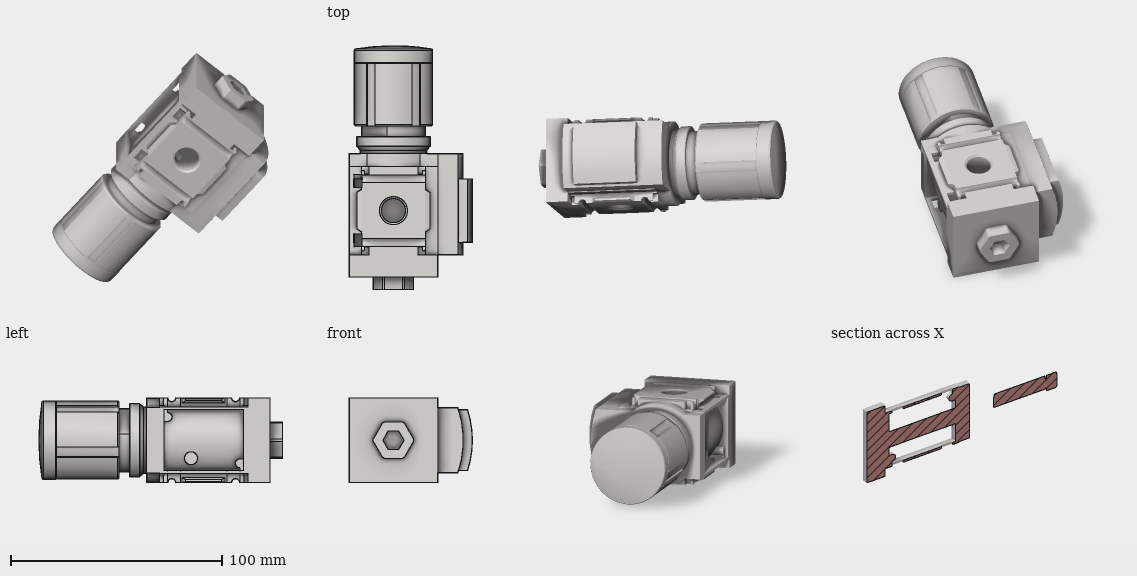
import cadquery as cq
import math


HALF_WIDTH = 21.0
HALF_HEIGHT = 20.1
BACK_Y = 27.0
FRONT_Y = -31.5
PANEL_HALF_LENGTH = 20.9
FRAME_HALF_HEIGHT = 15.8
SHELF_HALF_HEIGHT = 15.5
SEAT_RADIUS = 20.0

PANEL_HALF_WIDTH = 15.1
PORT_DIAMETER = 11.4
PORT_MOUTH_DIAMETER = 13.3
PORT_CHAMFER = (PORT_MOUTH_DIAMETER - PORT_DIAMETER) / 2
PORT_DEPTH = 11.5
GROOVE_Y = 15.1
GROOVE_RADIUS = 1.8
NOTCH_INNER_X = 11.5
NOTCH_INNER_Y = 17.3
NOTCH_FLOOR = 16.5
POST_INNER_X = 13.7
POST_OUTER_Y = 19.0
POST_FILLET = 0.6
LEDGE_REACH = 17.3
LEDGE_ROOT_HALF_LENGTH = 10.2
LEDGE_TIP_HALF_LENGTH = 8.5
LEDGE_TIP_TOP = 19.5
LEDGE_TIP_BOTTOM = 18.7
LEDGE_ROOT_BOTTOM = 17.5
OVERLAP = 0.6

WINDOW_HALF_LENGTH = 18.8
WINDOW_HALF_HEIGHT = 14.4
BARREL_RADIUS = 18.6
SLOT_OUTER_X = -18.7
SLOT_INNER_X = -14.8
SLOT_NEAR_Y = 11.0
SLOT_FAR_Y = 17.1
PIN_DIAMETER = 6.1
PIN_FACE_X = -17.8
PIN_Y = 6.0
PIN_Z = -8.5
HOOK_FACE_X = -19.6
HOOK_RADIUS = 2.1
HOOK_Z = 11.0
HOOK_ROOT_X = -11.5

PLUG_LENGTH = 5.9
PLUG_FLATS = 17.1
PLUG_CORNER_DIAMETER = 19.2
SOCKET_FLATS = 8.7
SOCKET_DEPTH = 6.9

COLLAR_RADIUS = 15.8
COLLAR_END = 28.5
CONE_RADIUS = 17.1
CONE_END = 30.3
FLANGE_RADIUS = 35.0 / 2
FLANGE_END = 35.1
FLANGE_BEVEL = 0.2
NECK_RADIUS = 15.1
NECK_FLAT_DISTANCE = 12.6
KNOB_START = 40.1
KNOB_RADIUS = 37.2 / 2
KNOB_BEVEL_LENGTH = 0.7
KNOB_BEVEL_DEPTH = 0.6
CAP_START = 70.2
CAP_EDGE = 75.9
CAP_EDGE_LENGTH = 0.7
CAP_EDGE_DEPTH = 0.3
KNOB_END = 78.1
CAP_GAP = 0.5
CAP_GAP_DEPTH = 0.3
FLUTE_COUNT = 5
FLUTE_DEPTH = 0.8
FLUTE_ANGLE = 15.6

GAUGE_HALF_HEIGHT = 15.5
GAUGE_EDGE_X = 30.5
GAUGE_CREST_X = 33.0
LENS_HALF_HEIGHT = 14.4
LENS_HALF_LENGTH = 15
LENS_EDGE_X = 35.1
LENS_CREST_X = 37.4


def block(x_start, x_end, y_start, y_end, z_start, z_end):
    """Axis-aligned box between two opposite corners."""
    size = (x_end - x_start, y_end - y_start, z_end - z_start)
    return cq.Workplane("XY").box(*size, centered=False).translate((x_start, y_start, z_start))


def rod_y(radius, y_start, y_end):
    """Cylinder on the Y axis."""
    return cq.Workplane("XZ", origin=(0, y_end, 0)).circle(radius).extrude(y_end - y_start)


def both_sides(shape):
    """The shape together with its mirror image below the XY plane."""
    return shape.union(shape.mirror("XY"))


def make_frame():
    """Front end block, frame between the panels, and round bonnet seat with low corners."""
    end_block = block(-HALF_WIDTH, HALF_WIDTH, FRONT_Y, -PANEL_HALF_LENGTH, -HALF_HEIGHT, HALF_HEIGHT)
    frame = block(-HALF_WIDTH, HALF_WIDTH, -PANEL_HALF_LENGTH, PANEL_HALF_LENGTH,
                  -FRAME_HALF_HEIGHT, FRAME_HALF_HEIGHT)
    shelf = block(-HALF_WIDTH, HALF_WIDTH, PANEL_HALF_LENGTH, BACK_Y,
                  -SHELF_HALF_HEIGHT, SHELF_HALF_HEIGHT)
    seat = rod_y(SEAT_RADIUS, PANEL_HALF_LENGTH, BACK_Y)
    return end_block.union(frame).union(shelf).union(seat)


def make_ledge():
    """Tapered ledge on the -X edge of the upper panel."""
    root_x = -PANEL_HALF_WIDTH
    profile = (
        cq.Workplane("XZ", origin=(0, LEDGE_ROOT_HALF_LENGTH, 0))
        .polyline([
            (root_x + OVERLAP, HALF_HEIGHT), (root_x, HALF_HEIGHT),
            (-LEDGE_REACH, LEDGE_TIP_TOP), (-LEDGE_REACH, LEDGE_TIP_BOTTOM),
            (root_x, LEDGE_ROOT_BOTTOM), (root_x + OVERLAP, LEDGE_ROOT_BOTTOM),
        ])
        .close()
        .extrude(2 * LEDGE_ROOT_HALF_LENGTH)
    )
    plan = (
        cq.Workplane("XY")
        .polyline([
            (root_x + OVERLAP, LEDGE_ROOT_HALF_LENGTH), (root_x, LEDGE_ROOT_HALF_LENGTH),
            (-LEDGE_REACH, LEDGE_TIP_HALF_LENGTH), (-LEDGE_REACH, -LEDGE_TIP_HALF_LENGTH),
            (root_x, -LEDGE_ROOT_HALF_LENGTH), (root_x + OVERLAP, -LEDGE_ROOT_HALF_LENGTH),
        ])
        .close()
        .extrude(HALF_HEIGHT)
    )
    return profile.intersect(plan)


def make_corner_notch():
    """Corner notch at +X +Y of the upper panel, leaving a round-ended post at the panel edge."""
    notch = block(NOTCH_INNER_X, PANEL_HALF_WIDTH, NOTCH_INNER_Y, PANEL_HALF_LENGTH,
                  NOTCH_FLOOR, HALF_HEIGHT)
    post = block(POST_INNER_X, PANEL_HALF_WIDTH, NOTCH_INNER_Y, POST_OUTER_Y, NOTCH_FLOOR, HALF_HEIGHT)
    post = post.edges("|Z and >Y").fillet(POST_FILLET)
    return notch.cut(post)


def make_panel():
    """Raised upper panel with clamping grooves, corner notches and side ledges."""
    panel = block(-PANEL_HALF_WIDTH, PANEL_HALF_WIDTH, -PANEL_HALF_LENGTH, PANEL_HALF_LENGTH,
                  FRAME_HALF_HEIGHT, HALF_HEIGHT)
    groove = (
        cq.Workplane("YZ", origin=(-PANEL_HALF_WIDTH, 0, 0))
        .center(GROOVE_Y, HALF_HEIGHT)
        .circle(GROOVE_RADIUS)
        .extrude(2 * PANEL_HALF_WIDTH)
    )
    panel = panel.cut(groove).cut(groove.mirror("XZ"))
    notch = make_corner_notch()
    notch_pair = notch.union(notch.mirror("XZ"))
    panel = panel.cut(notch_pair).cut(notch_pair.mirror("YZ"))
    ledge = make_ledge()
    return panel.union(ledge).union(ledge.mirror("YZ"))


def make_port():
    """Cutter for the upper port with its chamfered mouth."""
    bore = cq.Workplane("XY", origin=(0, 0, HALF_HEIGHT)).circle(PORT_DIAMETER / 2).extrude(-PORT_DEPTH)
    mouth = (
        cq.Workplane("XY", origin=(0, 0, HALF_HEIGHT))
        .circle(PORT_MOUTH_DIAMETER / 2)
        .extrude(-PORT_CHAMFER, taper=45)
    )
    return bore.union(mouth)


def make_window():
    """Cutter for the side window around the barrel."""
    window_inner_x = -math.sqrt(BARREL_RADIUS**2 - WINDOW_HALF_HEIGHT**2)
    window = block(-HALF_WIDTH, window_inner_x, -WINDOW_HALF_LENGTH, WINDOW_HALF_LENGTH,
                   -WINDOW_HALF_HEIGHT, WINDOW_HALF_HEIGHT)
    return window.cut(rod_y(BARREL_RADIUS, -WINDOW_HALF_LENGTH, WINDOW_HALF_LENGTH))


def make_slots():
    """Cutters for the clip slots through the upper frame plate."""
    slot = block(SLOT_OUTER_X, SLOT_INNER_X, SLOT_NEAR_Y, SLOT_FAR_Y, WINDOW_HALF_HEIGHT, HALF_HEIGHT)
    return slot.union(slot.mirror("XZ"))


def make_hook():
    """Round-nosed hook in the upper window corner at the knob side."""
    bottom = HOOK_Z - HOOK_RADIUS
    shank = block(HOOK_FACE_X, HOOK_ROOT_X, SLOT_FAR_Y, WINDOW_HALF_LENGTH, bottom, WINDOW_HALF_HEIGHT)
    nose = (
        cq.Workplane("YZ", origin=(HOOK_FACE_X, SLOT_FAR_Y, HOOK_Z))
        .circle(HOOK_RADIUS)
        .extrude(HOOK_ROOT_X - HOOK_FACE_X)
    )
    return shank.union(nose)


def make_pin():
    """Round pin standing out of the barrel inside the window."""
    return (
        cq.Workplane("YZ", origin=(PIN_FACE_X, PIN_Y, PIN_Z))
        .circle(PIN_DIAMETER / 2)
        .extrude(-PIN_FACE_X)
    )


def make_plug():
    """Hexagonal drain plug with rounded corners and a hexagon socket."""
    across_corners = 1 / math.cos(math.radians(30))
    plug_end = FRONT_Y - PLUG_LENGTH
    plug = (
        cq.Workplane("XZ", origin=(0, FRONT_Y, 0))
        .polygon(6, PLUG_FLATS * across_corners)
        .extrude(PLUG_LENGTH)
        .intersect(rod_y(PLUG_CORNER_DIAMETER / 2, plug_end, FRONT_Y))
    )
    socket = (
        cq.Workplane("XZ", origin=(0, plug_end, 0))
        .polygon(6, SOCKET_FLATS * across_corners)
        .extrude(-SOCKET_DEPTH)
    )
    return plug, socket


def make_bonnet():
    """Collar, cone, flange and neck turned about Y; the neck has one flat towards -X +Z."""
    flange = (
        cq.Workplane("XY")
        .polyline([
            (0, BACK_Y), (COLLAR_RADIUS, BACK_Y), (COLLAR_RADIUS, COLLAR_END), (CONE_RADIUS, CONE_END),
            (FLANGE_RADIUS, CONE_END + FLANGE_BEVEL), (FLANGE_RADIUS, FLANGE_END - FLANGE_BEVEL),
            (FLANGE_RADIUS - FLANGE_BEVEL, FLANGE_END), (0, FLANGE_END),
        ])
        .close()
        .revolve(360, (0, 0, 0), (0, 1, 0))
    )
    neck = rod_y(NECK_RADIUS, FLANGE_END, KNOB_START)
    flat = (
        block(NECK_FLAT_DISTANCE, 2 * NECK_RADIUS, FLANGE_END, KNOB_START,
              -NECK_RADIUS, NECK_RADIUS)
        .rotate((0, 0, 0), (0, 1, 0), -135)
    )
    return flange.union(neck.cut(flat))


def make_flute(grip_end):
    """Cutter for one shallow lengthwise flute, centred on +Z."""
    half_angle = math.radians(FLUTE_ANGLE / 2)
    reach = 2 * KNOB_RADIUS
    half_spread = reach * math.tan(half_angle)
    wedge = (
        cq.Workplane("XZ", origin=(0, grip_end, 0))
        .polyline([(0, 0), (half_spread, reach), (-half_spread, reach)])
        .close()
        .extrude(grip_end - KNOB_START)
    )
    return wedge.cut(rod_y(KNOB_RADIUS - FLUTE_DEPTH, KNOB_START, grip_end))


def make_knob():
    """Fluted grip with a domed cap, separated by a narrow ring gap."""
    grip_end = CAP_START - CAP_GAP
    gap_radius = KNOB_RADIUS - CAP_GAP_DEPTH
    rim_radius = KNOB_RADIUS - CAP_EDGE_DEPTH
    rim_y = CAP_EDGE + CAP_EDGE_LENGTH
    dome_rise = KNOB_END - rim_y
    dome_radius = (rim_radius**2 + dome_rise**2) / (2 * dome_rise)
    middle_angle = math.asin(rim_radius / dome_radius) / 2
    dome_middle = (
        dome_radius * math.sin(middle_angle),
        KNOB_END - dome_radius * (1 - math.cos(middle_angle)),
    )
    knob = (
        cq.Workplane("XY")
        .moveTo(0, KNOB_START)
        .lineTo(KNOB_RADIUS - KNOB_BEVEL_DEPTH, KNOB_START)
        .lineTo(KNOB_RADIUS, KNOB_START + KNOB_BEVEL_LENGTH)
        .lineTo(KNOB_RADIUS, grip_end)
        .lineTo(gap_radius, grip_end)
        .lineTo(gap_radius, CAP_START)
        .lineTo(KNOB_RADIUS, CAP_START)
        .lineTo(KNOB_RADIUS, CAP_EDGE)
        .lineTo(rim_radius, rim_y)
        .threePointArc(dome_middle, (0, KNOB_END))
        .close()
        .revolve(360, (0, 0, 0), (0, 1, 0))
    )
    flute = make_flute(grip_end)
    for index in range(FLUTE_COUNT):
        knob = knob.cut(flute.rotate((0, 0, 0), (0, 1, 0), (index + 0.5) * 360 / FLUTE_COUNT))
    return knob


def make_crowned_block(x_start, x_edge, x_crest, half_height, y_start, y_end):
    """Block whose +X face is an arc in the XZ plane."""
    return (
        cq.Workplane("XZ", origin=(0, y_end, 0))
        .moveTo(x_start, -half_height)
        .lineTo(x_edge, -half_height)
        .threePointArc((x_crest, 0), (x_edge, half_height))
        .lineTo(x_start, half_height)
        .close()
        .extrude(y_end - y_start)
    )


def make_gauge():
    """Pressure gauge: crowned case on the +X side with a crowned lens."""
    case = make_crowned_block(HALF_WIDTH, GAUGE_EDGE_X, GAUGE_CREST_X, GAUGE_HALF_HEIGHT,
                              -PANEL_HALF_LENGTH, BACK_Y)
    lens = make_crowned_block(HALF_WIDTH, LENS_EDGE_X, LENS_CREST_X, LENS_HALF_HEIGHT,
                              -LENS_HALF_LENGTH, LENS_HALF_LENGTH)
    return case.union(lens)


def make_regulator():
    """Housing with both port panels, window details, drain plug, bonnet and knob."""
    plug, socket = make_plug()
    hook = make_hook()
    return (
        make_frame()
        .union(both_sides(make_panel()))
        .cut(both_sides(make_port()))
        .cut(make_window())
        .cut(both_sides(make_slots()))
        .union(hook)
        .union(hook.rotate((0, 0, 0), (1, 0, 0), 180))
        .union(make_pin())
        .union(plug)
        .cut(socket)
        .union(make_bonnet())
        .union(make_knob())
    )


regulator = make_regulator()
gauge = make_gauge()
result = cq.Compound.makeCompound([regulator.val(), gauge.val()])